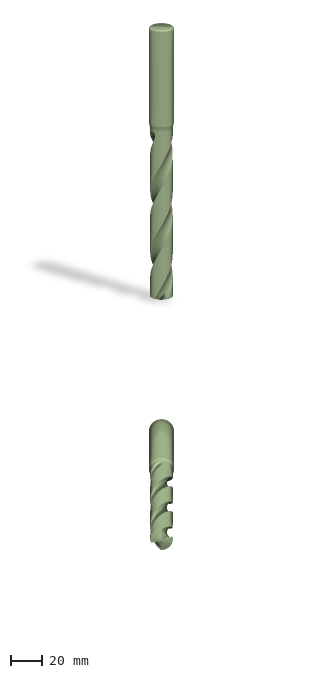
import cadquery as cq
import math

total_length = 185.0
shank_diameter = 16.0
shank_length = 65.3
shank_chamfer = 0.75
step_length = 2.7
drill_diameter = 14.5
cutting_length = 87.3
point_angle = 140.0

flute_count = 2
flute_lead = 83.0
flute_radius = 4.6
flute_centre_radius = 8.0
flute_top = 107.7
flute_top_angle = 206.0
flute_start = -2.0

runout_tangential_shift = 8.1
runout_radial_shift = 1.8

gash_reach = 11.0
gash_floor_slope = 1.44
gash_clearance_slope = -1.0

shank_base = total_length - shank_length
step_base = shank_base - step_length
runout_height = step_base - flute_top
drill_radius = drill_diameter / 2
flute_half_angle = math.degrees(math.acos(
    (flute_centre_radius**2 + drill_radius**2 - flute_radius**2) / (2 * flute_centre_radius * drill_radius)
))
point_slope = 1 / math.tan(math.radians(point_angle / 2))
point_height = drill_radius * point_slope


def revolved(outline):
    """Solid of revolution about Z from an outline of (radius, height) points."""
    return cq.Workplane("XZ").polyline(outline).close().revolve(360, (0, 0, 0), (0, 1, 0))


def turned(body, angle):
    return body.rotate((0, 0, 0), (0, 0, 1), angle)


def flute_angle(height):
    """Direction of the first flute's centre at a given height."""
    return flute_top_angle - 360 * (flute_top - height) / flute_lead


def make_helical_flute():
    """Round bar twisted around the drill axis."""
    height = flute_top - flute_start
    bar = (
        cq.Workplane("XY")
        .moveTo(flute_centre_radius, 0)
        .circle(flute_radius)
        .twistExtrude(height, 360 * height / flute_lead)
        .translate((0, 0, flute_start))
    )
    return turned(bar, flute_angle(flute_start))


def make_runout():
    """Straight slanted bar that continues the flute and leaves the body."""
    centre = cq.Vector(flute_centre_radius, 0, flute_top)
    section = cq.Face.makeFromWires(cq.Wire.makeCircle(flute_radius, centre, cq.Vector(0, 0, 1)))
    path = cq.Vector(runout_radial_shift, runout_tangential_shift, runout_height)
    bar = cq.Workplane(obj=cq.Solid.extrudeLinear(section, path))
    return turned(bar, flute_top_angle)


def ray_point(angle, slope):
    """End of a ray from the drill tip, at the given direction about Z and slope."""
    direction = math.radians(angle)
    return cq.Vector(
        gash_reach * math.cos(direction),
        gash_reach * math.sin(direction),
        gash_reach * slope,
    )


def make_gash():
    """Tetrahedron at the tip, between the heel of the flute and a vertical lip face."""
    middle = flute_angle(point_height)
    tip = cq.Vector(0, 0, 0)
    heel = ray_point(middle - flute_half_angle, point_slope)
    lip_top = ray_point(middle + flute_half_angle, gash_floor_slope)
    lip_bottom = ray_point(middle + flute_half_angle, gash_clearance_slope)
    triangles = [
        (tip, heel, lip_top),
        (tip, lip_top, lip_bottom),
        (tip, lip_bottom, heel),
        (heel, lip_bottom, lip_top),
    ]
    faces = [cq.Face.makeFromWires(cq.Wire.makePolygon(corners, close=True)) for corners in triangles]
    return cq.Workplane(obj=cq.Solid.makeSolid(cq.Shell.makeShell(faces)))


def cut_around(body, cutter):
    """Cut one copy of the cutter for each flute."""
    for index in range(flute_count):
        body = body.cut(turned(cutter, index * 360 / flute_count))
    return body


helical_flute = make_helical_flute()


def make_shank():
    """Clamping shank, conical step and the upper part of the fluted length."""
    shank_radius = shank_diameter / 2
    body = revolved([
        (0, cutting_length),
        (drill_radius, cutting_length),
        (drill_radius, step_base),
        (shank_radius, shank_base),
        (shank_radius, total_length - shank_chamfer),
        (shank_radius - shank_chamfer, total_length),
        (0, total_length),
    ])
    body = cut_around(body, helical_flute)
    return cut_around(body, make_runout())


def make_cutting_part():
    """Lower fluted part with a conical, gashed drill point."""
    body = revolved([
        (0, 0),
        (drill_radius, point_height),
        (drill_radius, cutting_length),
        (0, cutting_length),
    ])
    body = cut_around(body, helical_flute)
    return cut_around(body, make_gash())


shank = make_shank()
cutting_part = make_cutting_part()

result = cq.Compound.makeCompound([shank.val(), cutting_part.val()])